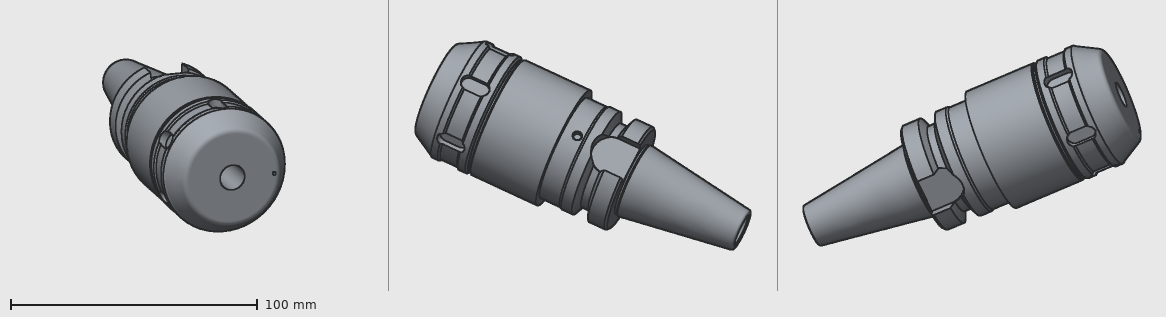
import cadquery as cq


TAPER_LARGE_DIA = 31.8
TAPER_RATE = 7 / 24
TAPER_END_X = 48.5
SHANK_ROUND = 1.1
RELIEF_DIA = 30.9
RELIEF_SLOPE = 0.5

FLANGE_DIA = 46.0
FLANGE_START_X = 50.0
FLANGE_CHAMFER = 1.0
VEE_START_X = 58.3
VEE_FLOOR_START_X = 60.2
VEE_FLOOR_END_X = 63.5
VEE_END_X = 65.6
VEE_FLOOR_DIA = 37.6
FLANGE_END_X = 71.4
FLANGE_END_CHAMFER = 1.0

NECK_DIA = 45.0
BODY_DIA = 51.5
BODY_START_X = 80.4
BODY_END_X = 110.3
BODY_CHAMFER = 0.4
GAP_DIA = 48.5

NUT_DIA = 52.0
NUT_START_X = 111.4
NUT_CHAMFER = 0.8
BAND_DIA = 50.5
BAND_START_X = 115.5
BAND_END_X = 124.7
BAND_SLOPE = 0.8
NUT_RIM_END_X = 127.7
NUT_EDGE_LENGTH = 0.8
NUT_EDGE_DROP = 0.7
NOSE_DIA = 40.1
NOSE_ROUND = 2.5
NOSE_X = 138.1

BORE_DIA = 10.5
THREAD_DIA = 12.0
COUNTERBORE_DIA = 12.9
MOUTH_DIA = 13.8
COUNTERBORE_DEPTH = 6.0
THREAD_END_X = 7.6
INNER_STEP_DIA = 11.2
INNER_STEP_END_X = 23.5

KEYWAY_COUNT = 2
KEYWAY_WIDTH = 16.2
KEYWAY_FLOOR = 16.6
KEYWAY_END_X = 67.3

SLOT_COUNT = 6
SLOT_LENGTH = 12.3
SLOT_WIDTH = 6.2
SLOT_CENTER_X = 120.4
SLOT_FLOOR = 22.5

SET_HOLE_X = 74.3
SET_HOLE_DIA = 3.5
SET_HOLE_RIM_DIA = 4.0
SET_HOLE_DEPTH = 2.8
SET_HOLE_RIM_ANGLE = 45
PIN_DIA = 1.4
PIN_Y = 17.9
PIN_ROOT = 1.4
OVERALL_LENGTH = 138.4

CUT_CLEARANCE = 1.4


def revolve_profile(stations):
    """Solid of revolution about X from (x, diameter) stations, closed along the axis."""
    outline = [(x, diameter / 2) for x, diameter in stations]
    outline = [(outline[0][0], 0)] + outline + [(outline[-1][0], 0)]
    profile = cq.Workplane("XY").polyline(outline).close()
    return profile.revolve(360, (0, 0, 0), (1, 0, 0))


def make_shank_and_body():
    shank_and_body = revolve_profile([
        (0, TAPER_LARGE_DIA - TAPER_END_X * TAPER_RATE),
        (TAPER_END_X, TAPER_LARGE_DIA),
        (TAPER_END_X + RELIEF_SLOPE, RELIEF_DIA),
        (FLANGE_START_X, RELIEF_DIA),
        (FLANGE_START_X, FLANGE_DIA - 2 * FLANGE_CHAMFER),
        (FLANGE_START_X + FLANGE_CHAMFER, FLANGE_DIA),
        (VEE_START_X, FLANGE_DIA),
        (VEE_FLOOR_START_X, VEE_FLOOR_DIA),
        (VEE_FLOOR_END_X, VEE_FLOOR_DIA),
        (VEE_END_X, FLANGE_DIA),
        (FLANGE_END_X - FLANGE_END_CHAMFER, FLANGE_DIA),
        (FLANGE_END_X, NECK_DIA),
        (BODY_START_X, NECK_DIA),
        (BODY_START_X, BODY_DIA),
        (BODY_END_X - BODY_CHAMFER, BODY_DIA),
        (BODY_END_X, BODY_DIA - 2 * BODY_CHAMFER),
        (BODY_END_X, GAP_DIA),
        (NUT_START_X, GAP_DIA),
    ])
    return shank_and_body.faces("<X").edges().fillet(SHANK_ROUND)


def make_nut():
    nut = revolve_profile([
        (NUT_START_X, NUT_DIA - 2 * NUT_CHAMFER),
        (NUT_START_X + NUT_CHAMFER, NUT_DIA),
        (BAND_START_X, NUT_DIA),
        (BAND_START_X + BAND_SLOPE, BAND_DIA),
        (BAND_END_X - BAND_SLOPE, BAND_DIA),
        (BAND_END_X, NUT_DIA),
        (NUT_RIM_END_X, NUT_DIA),
        (NUT_RIM_END_X + NUT_EDGE_LENGTH, NUT_DIA - 2 * NUT_EDGE_DROP),
        (NOSE_X, NOSE_DIA),
    ])
    return nut.faces(">X").edges().fillet(NOSE_ROUND)


def make_bore():
    """Stepped through bore, each step ending in a 45 degree cone."""
    mouth_depth = (MOUTH_DIA - COUNTERBORE_DIA) / 2
    step_depth = (COUNTERBORE_DIA - THREAD_DIA) / 2
    thread_runout = (THREAD_DIA - INNER_STEP_DIA) / 2
    inner_runout = (INNER_STEP_DIA - BORE_DIA) / 2
    return revolve_profile([
        (0, MOUTH_DIA),
        (mouth_depth, COUNTERBORE_DIA),
        (COUNTERBORE_DEPTH, COUNTERBORE_DIA),
        (COUNTERBORE_DEPTH + step_depth, THREAD_DIA),
        (THREAD_END_X, THREAD_DIA),
        (THREAD_END_X + thread_runout, INNER_STEP_DIA),
        (INNER_STEP_END_X, INNER_STEP_DIA),
        (INNER_STEP_END_X + inner_runout, BORE_DIA),
        (OVERALL_LENGTH, BORE_DIA),
    ])


def make_keyway():
    """Round-ended, flat-floored cutter above the axis, open towards the shank."""
    radius = KEYWAY_WIDTH / 2
    round_x = KEYWAY_END_X - radius
    return (
        cq.Workplane("XY", origin=(0, 0, KEYWAY_FLOOR))
        .moveTo(TAPER_END_X, -radius)
        .lineTo(round_x, -radius)
        .threePointArc((KEYWAY_END_X, 0), (round_x, radius))
        .lineTo(TAPER_END_X, radius)
        .close()
        .extrude(FLANGE_DIA / 2 - KEYWAY_FLOOR + CUT_CLEARANCE)
    )


def make_spanner_slot():
    return (
        cq.Workplane("XY", origin=(SLOT_CENTER_X, 0, SLOT_FLOOR))
        .slot2D(SLOT_LENGTH, SLOT_WIDTH)
        .extrude(NUT_DIA / 2 - SLOT_FLOOR + CUT_CLEARANCE)
    )


def make_set_hole():
    """Radial blind hole in the neck with a small chamfered rim."""
    neck_top = NECK_DIA / 2
    rim_depth = (SET_HOLE_RIM_DIA - SET_HOLE_DIA) / 2
    axis_point = cq.Workplane("XY", origin=(SET_HOLE_X, 0, neck_top))
    hole = axis_point.circle(SET_HOLE_DIA / 2).extrude(-SET_HOLE_DEPTH)
    rim = axis_point.circle(SET_HOLE_RIM_DIA / 2).extrude(-rim_depth, taper=SET_HOLE_RIM_ANGLE)
    return hole.union(rim)


def make_index_pin():
    pin_start_x = NOSE_X - PIN_ROOT
    return (
        cq.Workplane("YZ", origin=(pin_start_x, PIN_Y, 0))
        .circle(PIN_DIA / 2)
        .extrude(OVERALL_LENGTH - pin_start_x)
    )


def turned_about_axis(shape, count):
    """Equally spaced copies of a cutter around the X axis."""
    return [shape.rotate((0, 0, 0), (1, 0, 0), i * 360 / count) for i in range(count)]


result = make_shank_and_body().union(make_nut()).union(make_index_pin()).cut(make_bore())

for keyway in turned_about_axis(make_keyway(), KEYWAY_COUNT):
    result = result.cut(keyway)

for slot in turned_about_axis(make_spanner_slot(), SLOT_COUNT):
    result = result.cut(slot)

result = result.cut(make_set_hole())